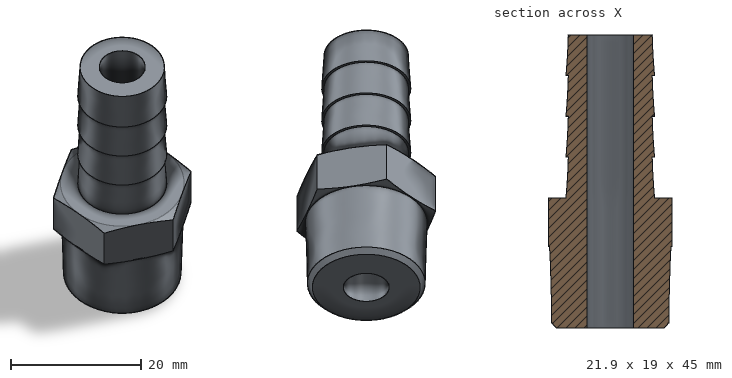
import cadquery as cq
import math

total_height = 45.0
thread_height = 12.5
hex_top = 20.0

hex_across_flats = 19.0
hex_chamfer_height = 0.4

thread_top_radius = 9.35
thread_bottom_radius = 9.05
thread_tip_radius = 8.3
thread_chamfer_height = 0.8

barb_count = 4
barb_top_radius = 6.5
barb_bottom_radius = 6.85
barb_height = (total_height - hex_top) / barb_count

bore_radius = 3.5


def make_thread_body():
    """Tapered body with a chamfered lower end."""
    return (
        cq.Workplane("XZ")
        .moveTo(0, 0)
        .lineTo(thread_tip_radius, 0)
        .lineTo(thread_bottom_radius, thread_chamfer_height)
        .lineTo(thread_top_radius, thread_height)
        .lineTo(0, thread_height)
        .close()
        .revolve(360, (0, 0), (0, 1))
    )


def make_hexagon():
    """Hexagon with corners on the X axis, its corners chamfered conically at both ends."""
    flat_radius = hex_across_flats / 2
    corner_radius = flat_radius / math.cos(math.pi / 6)
    prism = (
        cq.Workplane("XY", origin=(0, 0, thread_height))
        .polygon(6, 2 * corner_radius)
        .extrude(hex_top - thread_height)
    )
    chamfer_envelope = (
        cq.Workplane("XZ")
        .moveTo(0, thread_height)
        .lineTo(flat_radius, thread_height)
        .lineTo(corner_radius, thread_height + hex_chamfer_height)
        .lineTo(corner_radius, hex_top - hex_chamfer_height)
        .lineTo(flat_radius, hex_top)
        .lineTo(0, hex_top)
        .close()
        .revolve(360, (0, 0), (0, 1))
    )
    return prism.intersect(chamfer_envelope)


def make_barbed_stem():
    """Stack of equal cones, each widest at its lower edge."""
    profile = cq.Workplane("XZ").moveTo(0, hex_top)
    for index in range(barb_count):
        base = hex_top + index * barb_height
        profile = profile.lineTo(barb_bottom_radius, base).lineTo(barb_top_radius, base + barb_height)
    return profile.lineTo(0, total_height).close().revolve(360, (0, 0), (0, 1))


bore = cq.Workplane("XY").circle(bore_radius).extrude(total_height)

result = make_thread_body().union(make_hexagon()).union(make_barbed_stem()).cut(bore)